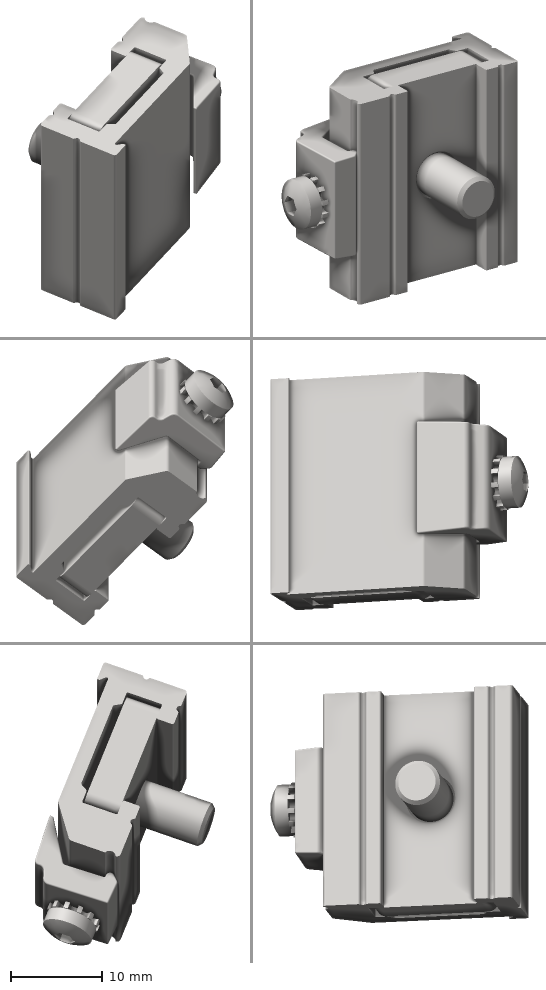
import cadquery as cq
import math


rail_length = 24.0
rail_depth = 8.65
rail_top = 21.23
slope_start = 17.35
top_width = 5.85
hook_depth = 9.78
hook_top = 2.18
hook_tip_width = 0.3
hook_bottom = 1.63

slot_center = 9.5
slot_mouth_half = 5.2
slot_half = 7.02
slot_front = 2.02
slot_back = 6.15
relief_back = 7.02
relief_half = 5.0
relief_mouth_half = 5.5
slot_corner_radius = 0.15
lip_radius = 0.2

upper_groove_y = 16.72
lower_groove_y = 2.32
face_groove_half = 0.4
face_groove_depth = 0.83
face_groove_floor_radius = 0.33
face_groove_edge_radius = 0.25
edge_groove_x = 4.8
edge_groove_half = 0.41
edge_groove_depth = 0.55
edge_groove_floor_radius = 0.33
edge_groove_edge_radius = 0.1

block_depth = 3.98
block_half_width = 6.8
block_corner_radius = 1.08
stud_diameter = 5.0
stud_end_x = -6.03
stud_chamfer = 0.41
countersink = 0.25
countersink_angle = 90

clamp_top_y = 24.57
clamp_half_length = 5.83
clamp_end_draft = 3.5
clamp_edge_radius = 0.17
tooth_x = 1.05
tooth_radius = 0.5
tooth_bottom = 20.85
clamp_tip_y = 16.92
tooth_flank_x = 0.015
tooth_seat_radius = 0.7
clamp_hole_diameter = 3.55

screw_x = 4.0
screw_diameter = 3.05
screw_tip_y = 17.97
head_diameter = 5.7
head_rim_y = 26.85
dome_top_y = 27.75
socket_width = 2.05
socket_depth = 1.1
washer_thickness = 0.77
washer_diameter = 6.03
notch_count = 12
notch_width = 1.02
notch_center_radius = 2.35

washer_base_y = clamp_top_y
head_base_y = washer_base_y + washer_thickness


def rounded_outline(corners):
    """Closed XY outline from (x, y, radius) corners; a radius of 0 keeps the corner sharp."""
    stretches = []
    for i, (x, y, radius) in enumerate(corners):
        corner = cq.Vector(x, y)
        if radius == 0:
            stretches.append((corner, corner, corner))
            continue
        to_last = (cq.Vector(*corners[i - 1][:2]) - corner).normalized()
        to_next = (cq.Vector(*corners[(i + 1) % len(corners)][:2]) - corner).normalized()
        half_angle = to_last.getAngle(to_next) / 2
        reach = radius / math.tan(half_angle)
        apex = radius / math.sin(half_angle) - radius
        middle = corner + (to_last + to_next).normalized() * apex
        stretches.append((corner + to_last * reach, middle, corner + to_next * reach))

    outline = cq.Workplane("XY").moveTo(*stretches[0][2].toTuple()[:2])
    for start, middle, end in stretches[1:] + stretches[:1]:
        outline = outline.lineTo(start.x, start.y)
        if start != end:
            outline = outline.threePointArc((middle.x, middle.y), (end.x, end.y))
    return outline.close()


def y_cylinder(diameter, y_start, y_end):
    """Cylinder on the screw axis between two Y levels."""
    base = cq.Workplane("XZ", origin=(screw_x, y_start, 0))
    return base.circle(diameter / 2).extrude(y_start - y_end)


def face_groove(y):
    """Corners of a groove in the open face, going down the face."""
    return [
        (0, y + face_groove_half, face_groove_edge_radius),
        (face_groove_depth, y, face_groove_floor_radius),
        (0, y - face_groove_half, face_groove_edge_radius),
    ]


def slot_half_outline(side):
    """Corners of one half of the T-slot from lip to relief; side is +1 or -1 along Y."""
    return [
        (0, slot_center + side * slot_mouth_half, lip_radius),
        (slot_front, slot_center + side * slot_mouth_half, lip_radius),
        (slot_front, slot_center + side * slot_half, slot_corner_radius),
        (slot_back, slot_center + side * slot_half, slot_corner_radius),
        (slot_back, slot_center + side * relief_mouth_half, lip_radius),
        (relief_back, slot_center + side * relief_half, lip_radius),
    ]


def make_rail():
    hook_slope = hook_top - hook_bottom
    hook_tip_x = hook_depth - hook_tip_width
    corners = [
        (0, 0, 0.33),
        (edge_groove_x - edge_groove_half, 0, edge_groove_edge_radius),
        (edge_groove_x, edge_groove_depth, edge_groove_floor_radius),
        (edge_groove_x + edge_groove_half, 0, edge_groove_edge_radius),
        (hook_depth, 0, 0.28),
        (hook_depth, hook_top, 0.08),
        (hook_tip_x, hook_top, 0.15),
        (hook_tip_x - hook_slope, hook_bottom, 0.15),
        (rail_depth, hook_bottom, 0.1),
        (rail_depth, slope_start, 0.41),
        (top_width, rail_top, 0.47),
        (0, rail_top, 0.41),
    ]
    corners += face_groove(upper_groove_y)
    corners += slot_half_outline(1)
    corners += reversed(slot_half_outline(-1))
    corners += face_groove(lower_groove_y)
    rail = rounded_outline(corners).extrude(rail_length / 2, both=True)

    tooth_seat = (
        cq.Workplane("XY")
        .center(tooth_x, tooth_bottom + tooth_seat_radius)
        .circle(tooth_seat_radius)
        .extrude(rail_length / 2, both=True)
    )
    return rail.cut(tooth_seat).cut(y_cylinder(screw_diameter, screw_tip_y, rail_top))


def make_block():
    block = (
        cq.Workplane("YZ", origin=(slot_front, slot_center, 0))
        .rect(2 * block_half_width, rail_length)
        .extrude(block_depth)
        .edges("|X")
        .fillet(block_corner_radius)
    )
    return block.faces("<X").workplane(origin=(0, slot_center, 0)).cskHole(
        stud_diameter, stud_diameter + 2 * countersink, countersink_angle
    )


def make_stud():
    return (
        cq.Workplane("YZ", origin=(stud_end_x, slot_center, 0))
        .circle(stud_diameter / 2)
        .extrude(slot_front + block_depth - stud_end_x)
        .faces("<X")
        .chamfer(stud_chamfer)
    )


def make_clamp():
    tooth_right = tooth_x + tooth_radius
    tooth_center_y = tooth_bottom + tooth_radius
    flank_sum = tooth_x + tooth_center_y - math.sqrt(2) * tooth_radius
    corners = [
        (0.17, 24.35, 0.15),
        (tooth_flank_x, flank_sum - tooth_flank_x, 0.47),
        (tooth_right, flank_sum - tooth_right, tooth_radius),
        (tooth_right, 21.6, 0.15),
        (6.38, 21.73, 0.41),
        (9.37, clamp_tip_y, 0.08),
        (hook_depth, clamp_tip_y, 0.08),
        (9.45, 22.78, 0.55),
        (8.3, 22.78, 0.64),
        (7.7, clamp_top_y, 0.83),
    ]
    blank = rounded_outline(corners).extrude(rail_length / 2, both=True)

    clamp_height = clamp_top_y - clamp_tip_y
    base_half_length = clamp_half_length + clamp_height * math.tan(math.radians(clamp_end_draft))
    drafted_ends = (
        cq.Workplane("YZ")
        .polyline([
            (clamp_top_y, -clamp_half_length),
            (clamp_top_y, clamp_half_length),
            (clamp_tip_y, base_half_length),
            (clamp_tip_y, -base_half_length),
        ])
        .close()
        .extrude(hook_depth)
    )
    clamp = blank.intersect(drafted_ends)
    clamp = clamp.faces(">Z or <Z").edges().fillet(clamp_edge_radius)
    return clamp.cut(y_cylinder(clamp_hole_diameter, tooth_bottom, clamp_top_y))


def make_washer():
    washer = y_cylinder(washer_diameter, washer_base_y, head_base_y)
    notch_reach = washer_diameter - notch_center_radius
    notch = (
        cq.Workplane("XZ", origin=(screw_x, washer_base_y, 0))
        .center(notch_center_radius + notch_reach / 2, 0)
        .slot2D(notch_reach + notch_width, notch_width)
        .extrude(-washer_thickness)
    )
    axis_start = (screw_x, 0, 0)
    axis_end = (screw_x, 1, 0)
    for i in range(notch_count):
        washer = washer.cut(notch.rotate(axis_start, axis_end, i * 360 / notch_count))
    return washer.cut(y_cylinder(screw_diameter, washer_base_y, head_base_y))


def make_screw():
    shank = y_cylinder(screw_diameter, screw_tip_y, head_base_y)
    head_radius = head_diameter / 2
    dome_rise = dome_top_y - head_rim_y
    dome_radius = (head_radius ** 2 + dome_rise ** 2) / (2 * dome_rise)
    dome_ball = cq.Workplane("XY", origin=(screw_x, dome_top_y - dome_radius, 0)).sphere(dome_radius)
    head = y_cylinder(head_diameter, head_base_y, dome_top_y).intersect(dome_ball)

    socket = (
        cq.Workplane("XZ", origin=(screw_x, dome_top_y, 0))
        .transformed(rotate=(0, 0, 30))
        .polygon(6, socket_width, circumscribed=True)
        .extrude(socket_depth)
    )
    return shank.union(head).cut(socket)


rail = make_rail()
block = make_block()
stud = make_stud()
clamp = make_clamp()
washer = make_washer()
screw = make_screw()

bodies = [rail, block, stud, clamp, washer, screw]
result = cq.Compound.makeCompound([body.solids().val() for body in bodies])